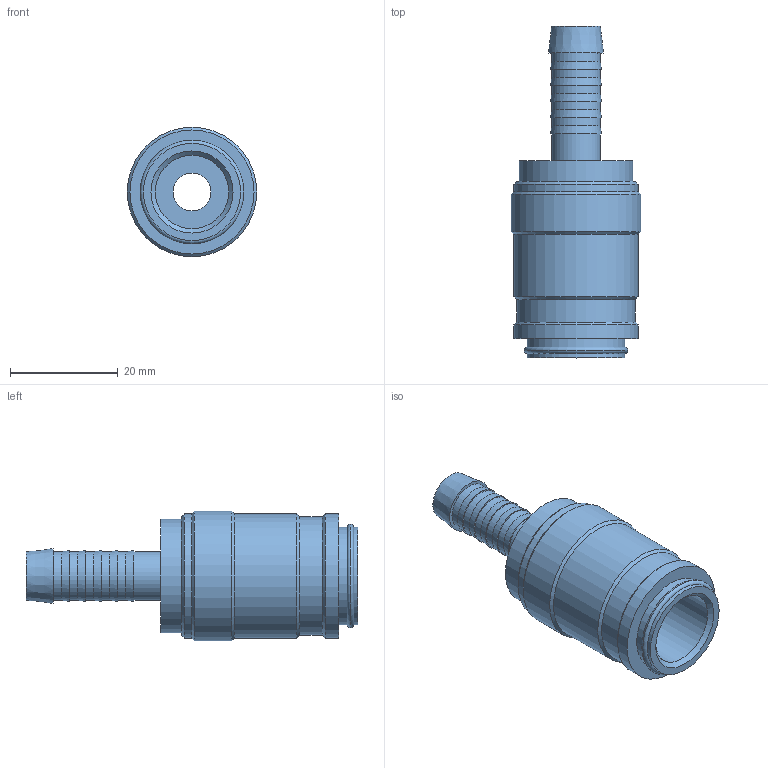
import cadquery as cq

LENGTH = 61.5

NECK_RADIUS = 9.0
BEAD_OUTER_RADIUS = 9.6
BEAD_CENTER_Y = 1.4
BEAD_SECTION_RADIUS = BEAD_OUTER_RADIUS - NECK_RADIUS

FLANGE_START_Y = 3.6
BAND_RADIUS = 12.0
SLEEVE_CHAMFER = 0.5
SLEEVE_RADIUS = BAND_RADIUS - SLEEVE_CHAMFER
GROOVE_RADIUS = SLEEVE_RADIUS - SLEEVE_CHAMFER
GROOVE_START_Y = 6.6
GROOVE_END_Y = 10.8
BAND_START_Y = 22.9
BAND_END_Y = 30.8
SHOULDER_END_Y = 32.7
COLLAR_RADIUS = 10.5
COLLAR_END_Y = 36.5

TAIL_RADIUS = 4.5
BARB_RADIUS = 4.7
BARB_COUNT = 5
BARB_PITCH = 3.0
BARB_TAPER_LENGTH = BARB_PITCH / 2
TIP_LENGTH = 5.0
TIP_RADIUS = 5.1
TIP_START_Y = LENGTH - TIP_LENGTH
FIRST_BARB_Y = TIP_START_Y - BARB_COUNT * BARB_PITCH

SOCKET_RADIUS = 6.8
SOCKET_DEPTH = 30.0
MOUTH_RADIUS = 7.6
MOUTH_CHAMFER = MOUTH_RADIUS - SOCKET_RADIUS
PASSAGE_RADIUS = 3.5


def revolve_profile(points):
    """Revolve a closed (radius, y) outline about the Y axis."""
    return cq.Workplane("XY").polyline(points).close().revolve(360, (0, 0, 0), (0, 1, 0))


def sleeve_points():
    """Outer outline from the socket mouth to the end of the collar."""
    return [
        (NECK_RADIUS, 0),
        (NECK_RADIUS, FLANGE_START_Y),
        (SLEEVE_RADIUS, FLANGE_START_Y),
        (SLEEVE_RADIUS, GROOVE_START_Y - SLEEVE_CHAMFER),
        (GROOVE_RADIUS, GROOVE_START_Y),
        (GROOVE_RADIUS, GROOVE_END_Y),
        (SLEEVE_RADIUS, GROOVE_END_Y + SLEEVE_CHAMFER),
        (SLEEVE_RADIUS, BAND_START_Y),
        (BAND_RADIUS, BAND_START_Y + SLEEVE_CHAMFER),
        (BAND_RADIUS, BAND_END_Y - SLEEVE_CHAMFER),
        (SLEEVE_RADIUS, BAND_END_Y),
        (SLEEVE_RADIUS, SHOULDER_END_Y - SLEEVE_CHAMFER),
        (SLEEVE_RADIUS - SLEEVE_CHAMFER, SHOULDER_END_Y),
        (COLLAR_RADIUS, SHOULDER_END_Y),
        (COLLAR_RADIUS, COLLAR_END_Y),
    ]


def tail_points():
    """Outer outline of the hose tail; each barb steps out and tapers back to the stem."""
    points = [(TAIL_RADIUS, COLLAR_END_Y)]
    for index in range(BARB_COUNT):
        barb_y = FIRST_BARB_Y + index * BARB_PITCH
        points.append((TAIL_RADIUS, barb_y))
        points.append((BARB_RADIUS, barb_y))
        points.append((TAIL_RADIUS, barb_y + BARB_TAPER_LENGTH))
    points.append((TAIL_RADIUS, TIP_START_Y))
    points.append((TIP_RADIUS, TIP_START_Y))
    points.append((TAIL_RADIUS, LENGTH))
    return points


def make_body():
    """Solid outer body, on axis from end to end."""
    return revolve_profile([(0, 0)] + sleeve_points() + tail_points() + [(0, LENGTH)])


def make_bead():
    """Retaining bead, round in section and centered on the neck surface."""
    section = cq.Workplane("XY").center(NECK_RADIUS, BEAD_CENTER_Y).circle(BEAD_SECTION_RADIUS)
    axis_base = (-NECK_RADIUS, 0, 0)
    axis_tip = (-NECK_RADIUS, 1, 0)
    return section.revolve(360, axis_base, axis_tip)


def make_cavity():
    """Socket, its mouth chamfer and the passage through the hose tail."""
    return revolve_profile([
        (0, 0),
        (MOUTH_RADIUS, 0),
        (SOCKET_RADIUS, MOUTH_CHAMFER),
        (SOCKET_RADIUS, SOCKET_DEPTH),
        (PASSAGE_RADIUS, SOCKET_DEPTH),
        (PASSAGE_RADIUS, LENGTH),
        (0, LENGTH),
    ])


result = make_body().union(make_bead()).cut(make_cavity())